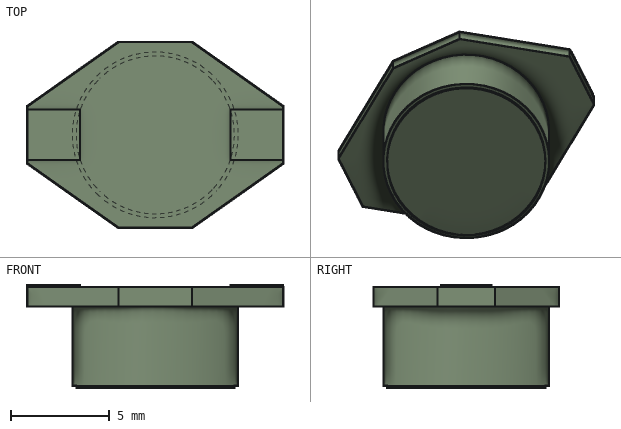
import cadquery as cq

plate_length = 12.95
plate_width = 9.4
plate_thickness = 1.0
end_face_width = 2.9
side_face_length = 3.73

body_diameter = 8.39
foot_diameter = 8.0
foot_height = 0.1

pad_length = 2.67
pad_width = 2.55
pad_thickness = 0.1
right_pad_inset = 0.01

total_height = 5.2
plate_top = total_height - pad_thickness
plate_bottom = plate_top - plate_thickness


def make_plate():
    half_length = plate_length / 2
    half_width = plate_width / 2
    half_end = end_face_width / 2
    half_side = side_face_length / 2
    outline = [
        (-half_side, -half_width),
        (half_side, -half_width),
        (half_length, -half_end),
        (half_length, half_end),
        (half_side, half_width),
        (-half_side, half_width),
        (-half_length, half_end),
        (-half_length, -half_end),
    ]
    return (
        cq.Workplane("XY")
        .workplane(offset=plate_bottom)
        .polyline(outline)
        .close()
        .extrude(plate_thickness)
    )


def make_body():
    foot = cq.Workplane("XY").circle(foot_diameter / 2).extrude(foot_height)
    drum = (
        cq.Workplane("XY")
        .workplane(offset=foot_height)
        .circle(body_diameter / 2)
        .extrude(plate_bottom - foot_height)
    )
    return drum.union(foot)


def make_pads():
    flush_offset = (plate_length - pad_length) / 2
    return (
        cq.Workplane("XY")
        .workplane(offset=plate_top)
        .pushPoints([(-flush_offset, 0), (flush_offset - right_pad_inset, 0)])
        .rect(pad_length, pad_width)
        .extrude(pad_thickness)
    )


result = make_plate().union(make_body()).union(make_pads())